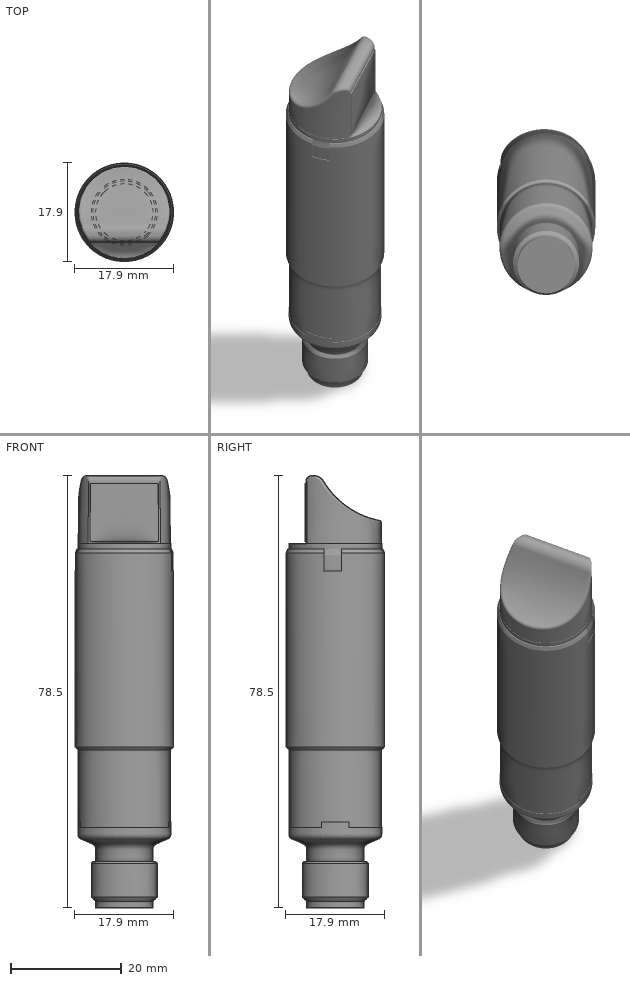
import cadquery as cq
import math

NECK_RADIUS = 5.2
THREAD_RADIUS = 6.0
THREAD_BOTTOM_Z = 1.2
THREAD_TOP_Z = 8.4
THREAD_LOWER_CHAMFER = THREAD_RADIUS - NECK_RADIUS
THREAD_UPPER_CHAMFER = 0.3

COLLAR_RADIUS = 8.45
CONE_BOTTOM_Z = 11.35
CONE_ANGLE = 24.0
COLLAR_TOP_Z = 14.65
NECK_FILLET = 1.0
COLLAR_FILLET = 0.9

LOWER_BARREL_RADIUS = 8.38
LOWER_BARREL_TOP_Z = 28.7
BARREL_RADIUS = 8.94
BARREL_LOWER_CHAMFER = BARREL_RADIUS - LOWER_BARREL_RADIUS
BARREL_TOP_Z = 65.2
BARREL_UPPER_CHAMFER_HEIGHT = 0.7
BARREL_TOP_RADIUS = 8.6

CAP_RADIUS = 8.45
LEDGE_Z = 66.15
TOTAL_HEIGHT = 78.5
HEAD_BASE_RADIUS = 8.4
HEAD_DRAFT_ANGLE = 0.6
FRONT_FACE_Y = -5.35
FRONT_TOP_FILLET = 1.1
RIM_FILLET = 0.45

SCOOP_RADIUS = 15.2
SCOOP_CENTRE_Y = 10.9
SCOOP_CENTRE_Z = 85.3
CREST_BLEND_RADIUS = 1.9

WINDOW_WIDTH = 12.5
WINDOW_BOTTOM_Z = 66.55
WINDOW_TOP_Z = 77.1
WINDOW_PROUD = 0.15
WINDOW_CORNER_RADIUS = 0.3

TAB_WIDTH = 5.0
TAB_HEIGHT = 0.95
TAB_TOP_Z = COLLAR_TOP_Z + TAB_HEIGHT

NOTCH_REAR_Y = 1.1
NOTCH_FRONT_Y = -2.05
NOTCH_BOTTOM_Z = 61.2
NOTCH_BEVEL_BOTTOM_Z = 64.05
NOTCH_DEPTH = 0.12


def make_lathe_body():
    """Everything below the head: stem, collar with a full-height rim, barrels and cap disc."""
    cone_top_z = CONE_BOTTOM_Z + (COLLAR_RADIUS - NECK_RADIUS) * math.tan(math.radians(CONE_ANGLE))
    outline = [
        (0, 0),
        (NECK_RADIUS, 0),
        (NECK_RADIUS, THREAD_BOTTOM_Z),
        (THREAD_RADIUS, THREAD_BOTTOM_Z + THREAD_LOWER_CHAMFER),
        (THREAD_RADIUS, THREAD_TOP_Z - THREAD_UPPER_CHAMFER),
        (THREAD_RADIUS - THREAD_UPPER_CHAMFER, THREAD_TOP_Z),
        (NECK_RADIUS, THREAD_TOP_Z),
        (NECK_RADIUS, CONE_BOTTOM_Z),
        (COLLAR_RADIUS, cone_top_z),
        (COLLAR_RADIUS, TAB_TOP_Z),
        (LOWER_BARREL_RADIUS, TAB_TOP_Z),
        (LOWER_BARREL_RADIUS, LOWER_BARREL_TOP_Z),
        (BARREL_RADIUS, LOWER_BARREL_TOP_Z + BARREL_LOWER_CHAMFER),
        (BARREL_RADIUS, BARREL_TOP_Z - BARREL_UPPER_CHAMFER_HEIGHT),
        (BARREL_TOP_RADIUS, BARREL_TOP_Z),
        (CAP_RADIUS, BARREL_TOP_Z),
        (CAP_RADIUS, LEDGE_Z),
        (0, LEDGE_Z),
    ]
    body = cq.Workplane("XZ").polyline(outline).close().revolve(360, (0, 0, 0), (0, 1, 0))
    body = fillet_ring(body, CONE_BOTTOM_Z, NECK_FILLET)
    return fillet_ring(body, cone_top_z, COLLAR_FILLET)


def fillet_ring(body, z, radius):
    """Round the circular edge lying at height z."""
    tolerance = 0.01
    reach = 2 * BARREL_RADIUS
    ring = cq.selectors.BoxSelector(
        (-reach, -reach, z - tolerance), (reach, reach, z + tolerance), boundingbox=True
    )
    return body.edges(ring).fillet(radius)


def circle_point(centre_y, centre_z, radius, angle):
    """Point (y, z) on a circle, with the angle measured from +Y toward +Z."""
    return (centre_y + radius * math.cos(angle), centre_z + radius * math.sin(angle))


def make_head():
    """Drafted cylinder trimmed to the front face, crest and scoop, with a rounded rim."""
    height = TOTAL_HEIGHT - LEDGE_Z
    round_head = cq.Workplane("XY", origin=(0, 0, LEDGE_Z)).circle(HEAD_BASE_RADIUS).extrude(
        height, taper=HEAD_DRAFT_ANGLE
    )

    blend_z = TOTAL_HEIGHT - CREST_BLEND_RADIUS
    centre_distance = SCOOP_RADIUS + CREST_BLEND_RADIUS
    centre_rise = SCOOP_CENTRE_Z - blend_z
    blend_y = SCOOP_CENTRE_Y - math.sqrt(centre_distance**2 - centre_rise**2)

    start_angle = math.atan2(blend_z - SCOOP_CENTRE_Z, blend_y - SCOOP_CENTRE_Y)
    end_angle = -math.pi / 2
    toward_scoop_angle = start_angle + math.pi
    blend_mid_angle = (toward_scoop_angle + math.pi / 2) / 2
    blend_mid = circle_point(blend_y, blend_z, CREST_BLEND_RADIUS, blend_mid_angle)
    scoop_start, scoop_mid, scoop_end = [
        circle_point(SCOOP_CENTRE_Y, SCOOP_CENTRE_Z, SCOOP_RADIUS, angle)
        for angle in (start_angle, (start_angle + end_angle) / 2, end_angle)
    ]

    side_profile = (
        cq.Workplane("YZ")
        .moveTo(FRONT_FACE_Y, LEDGE_Z)
        .lineTo(FRONT_FACE_Y, TOTAL_HEIGHT - FRONT_TOP_FILLET)
        .radiusArc((FRONT_FACE_Y + FRONT_TOP_FILLET, TOTAL_HEIGHT), FRONT_TOP_FILLET)
        .lineTo(blend_y, TOTAL_HEIGHT)
        .threePointArc(blend_mid, scoop_start)
        .threePointArc(scoop_mid, scoop_end)
        .lineTo(scoop_end[0], LEDGE_Z)
        .close()
        .extrude(BARREL_RADIUS, both=True)
    )
    head = round_head.intersect(side_profile)

    rim = head.edges("not |X").filter(lambda edge: edge.BoundingBox().zmin > WINDOW_BOTTOM_Z)
    return rim.fillet(RIM_FILLET)


def make_window():
    """Plate standing slightly proud of the flat front face."""
    height = WINDOW_TOP_Z - WINDOW_BOTTOM_Z
    mid_z = (WINDOW_TOP_Z + WINDOW_BOTTOM_Z) / 2
    return (
        cq.Workplane("XZ", origin=(0, FRONT_FACE_Y, mid_z))
        .rect(WINDOW_WIDTH, height)
        .extrude(WINDOW_PROUD)
        .edges("|Y")
        .fillet(WINDOW_CORNER_RADIUS)
    )


def make_tab_cutter():
    """Lowers the collar rim to the collar top, sparing one tab on -X and one on +X."""
    rim_base = cq.Workplane("XY", origin=(0, 0, COLLAR_TOP_Z))
    rim = rim_base.circle(BARREL_RADIUS).circle(LOWER_BARREL_RADIUS).extrude(TAB_HEIGHT)
    cross_bar = rim_base.rect(2 * BARREL_RADIUS, TAB_WIDTH).extrude(TAB_HEIGHT)
    return rim.cut(cross_bar)


def make_notch_cutter():
    """Shallow ring section under a long bevel, limited to the notch width on -X and +X."""
    notch_radius = BARREL_RADIUS - NOTCH_DEPTH
    ring_outline = [
        (notch_radius, NOTCH_BOTTOM_Z),
        (notch_radius, NOTCH_BEVEL_BOTTOM_Z),
        (CAP_RADIUS, BARREL_TOP_Z),
        (2 * BARREL_RADIUS, BARREL_TOP_Z),
        (2 * BARREL_RADIUS, NOTCH_BOTTOM_Z),
    ]
    ring = cq.Workplane("XZ").polyline(ring_outline).close().revolve(360, (0, 0, 0), (0, 1, 0))
    width_limit = cq.Workplane("XY").box(
        4 * BARREL_RADIUS, NOTCH_REAR_Y - NOTCH_FRONT_Y, 2 * TOTAL_HEIGHT
    ).translate((0, (NOTCH_REAR_Y + NOTCH_FRONT_Y) / 2, 0))
    return ring.intersect(width_limit)


body = make_lathe_body().cut(make_notch_cutter()).cut(make_tab_cutter())
result = body.union(make_head()).union(make_window())